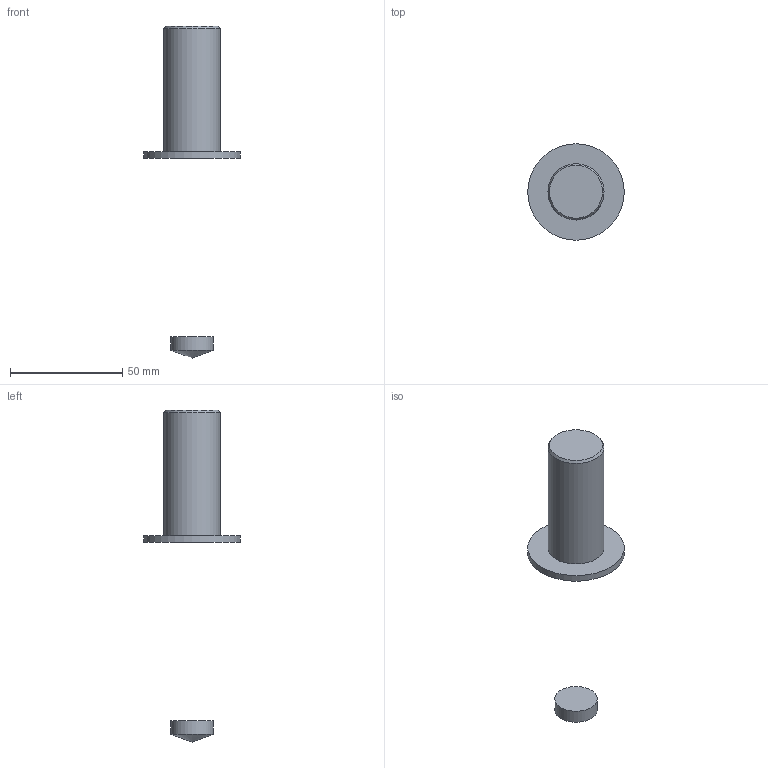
import cadquery as cq
import math

flange_diameter = 43.0
flange_thickness = 3.0
pin_diameter = 25.0
pin_top = 59.0

chamfer_height = 1.2
chamfer_angle = 30.0
chamfer_width = chamfer_height * math.tan(math.radians(chamfer_angle))

overall_height = 147.9
plug_diameter = 19.0
plug_thickness = 6.0
cone_slope = 20.0
plug_radius = plug_diameter / 2
cone_height = plug_radius * math.tan(math.radians(cone_slope))
tip_z = pin_top - overall_height
cone_base_z = tip_z + cone_height
plug_top = cone_base_z + plug_thickness


def make_flanged_pin():
    flange = cq.Workplane("XY").circle(flange_diameter / 2).extrude(flange_thickness)
    shank = (
        cq.Workplane("XY")
        .circle(pin_diameter / 2)
        .extrude(pin_top)
        .faces(">Z")
        .chamfer(chamfer_height, chamfer_width)
    )
    return flange.union(shank).solids()


def make_pointed_plug():
    return (
        cq.Workplane("XZ")
        .moveTo(0, tip_z)
        .lineTo(plug_radius, cone_base_z)
        .lineTo(plug_radius, plug_top)
        .lineTo(0, plug_top)
        .close()
        .revolve(360, (0, 0), (0, 1))
    )


flanged_pin = make_flanged_pin()
pointed_plug = make_pointed_plug()

result = cq.Compound.makeCompound([flanged_pin.val(), pointed_plug.val()])